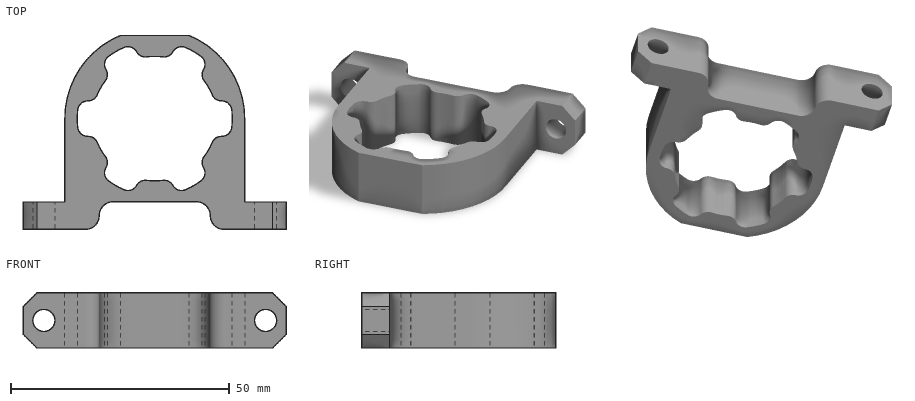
import cadquery as cq
import math

length = 60.3
depth = 44.45
thickness = 12.7

foot_depth = 6.35
foot_chamfer = 3.2
foot_hole_diameter = 5.0
foot_hole_inset = 4.75

housing_radius = 20.65
flat_height = 19.05
base_y = flat_height - depth
foot_top_y = base_y + foot_depth
flat_half_width = math.sqrt(housing_radius**2 - flat_height**2)

notch_width = 25.4
notch_radius = foot_depth / 2

bore_radius = 14.25
lobe_radius = 17.75
lobe_width = 8.1
lobe_count = 6
lobe_fillet = 2.3


def make_housing():
    """Arched housing: straight sides, round shoulders and a flat on top."""
    shoulder_angle = math.atan2(flat_height, flat_half_width) / 2
    shoulder_x = housing_radius * math.cos(shoulder_angle)
    shoulder_y = housing_radius * math.sin(shoulder_angle)
    return (
        cq.Workplane("XY")
        .moveTo(-housing_radius, base_y)
        .lineTo(housing_radius, base_y)
        .lineTo(housing_radius, 0)
        .threePointArc((shoulder_x, shoulder_y), (flat_half_width, flat_height))
        .lineTo(-flat_half_width, flat_height)
        .threePointArc((-shoulder_x, shoulder_y), (-housing_radius, 0))
        .close()
        .extrude(thickness)
    )


def make_foot_bar():
    """Full-length bar with chamfered ends that forms both feet."""
    return (
        cq.Workplane("XY")
        .box(length, foot_depth, thickness, centered=(True, False, False))
        .edges("|Y")
        .chamfer(foot_chamfer)
        .translate((0, base_y, 0))
    )


def cut_notch(body):
    """Open the notch between the feet, its sides sweeping in smooth S-curves."""
    half_width = notch_width / 2
    mid_y = base_y + notch_radius
    mouth_x = half_width + notch_radius
    roof_x = half_width - notch_radius
    notch = (
        cq.Workplane("XY")
        .moveTo(-mouth_x, base_y)
        .radiusArc((-half_width, mid_y), -notch_radius)
        .radiusArc((-roof_x, foot_top_y), notch_radius)
        .lineTo(roof_x, foot_top_y)
        .radiusArc((half_width, mid_y), notch_radius)
        .radiusArc((mouth_x, base_y), -notch_radius)
        .close()
        .extrude(thickness)
    )
    return body.cut(notch)


def make_bore():
    """Cylinder with evenly spaced, rounded lobes, used as the bore cutter."""
    bore = cq.Workplane("XY").circle(bore_radius).extrude(thickness)
    lobe_limit = cq.Workplane("XY").circle(lobe_radius).extrude(thickness)
    lobe_bar_length = 2 * (lobe_radius + lobe_fillet)
    lobe_bar = cq.Workplane("XY").box(
        lobe_bar_length, lobe_width, thickness, centered=(True, True, False)
    )
    for index in range(lobe_count // 2):
        turned_bar = lobe_bar.rotate((0, 0, 0), (0, 0, 1), index * 360 / lobe_count)
        bore = bore.union(turned_bar.intersect(lobe_limit))
    return bore.edges("|Z").fillet(lobe_fillet)


def cut_foot_holes(body):
    """Drill one hole through each foot along Y."""
    hole_x = length / 2 - foot_hole_inset
    for side in (-1, 1):
        hole = cq.Solid.makeCylinder(
            foot_hole_diameter / 2,
            foot_depth,
            cq.Vector(side * hole_x, base_y, thickness / 2),
            cq.Vector(0, 1, 0),
        )
        body = body.cut(cq.Workplane(obj=hole))
    return body


body = make_housing().union(make_foot_bar())
body = cut_notch(body)
body = body.cut(make_bore())
result = cut_foot_holes(body)